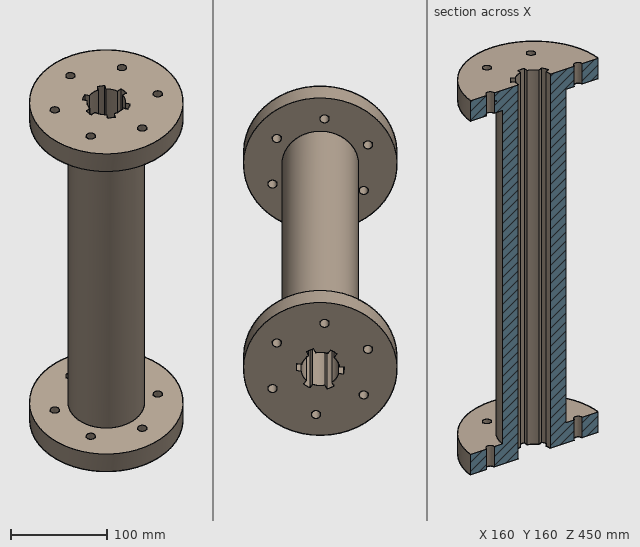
import cadquery as cq

TOTAL_LENGTH = 450.0
FLANGE_DIAMETER = 160.0
FLANGE_THICKNESS = 25.0
TUBE_DIAMETER = 80.0

BOLT_COUNT = 6
BOLT_HOLE_DIAMETER = 9.51
BOLT_CIRCLE_DIAMETER = 110.0
BOLT_START_ANGLE = 30.0

BORE_DIAMETER = 40.0
SPLINE_COUNT = 6
SPLINE_MAJOR_DIAMETER = 50.0
SPLINE_SLOT_WIDTH = 8.0


def flange(base_height):
    """Round flange with a ring of through bolt holes, standing on base_height."""
    base = cq.Workplane("XY").workplane(offset=base_height)
    disc = base.circle(FLANGE_DIAMETER / 2).extrude(FLANGE_THICKNESS)
    holes = (
        base.polarArray(BOLT_CIRCLE_DIAMETER / 2, BOLT_START_ANGLE, 360, BOLT_COUNT)
        .circle(BOLT_HOLE_DIAMETER / 2)
        .extrude(FLANGE_THICKNESS)
    )
    return disc.cut(holes)


def splined_bore():
    """Solid to be removed for the bore: a round core with radial spline slots."""
    core = cq.Workplane("XY").circle(BORE_DIAMETER / 2).extrude(TOTAL_LENGTH)
    slots = (
        cq.Workplane("XY")
        .polarArray(SPLINE_MAJOR_DIAMETER / 4, 0, 360, SPLINE_COUNT)
        .rect(SPLINE_MAJOR_DIAMETER / 2, SPLINE_SLOT_WIDTH)
        .extrude(TOTAL_LENGTH)
    )
    major = cq.Workplane("XY").circle(SPLINE_MAJOR_DIAMETER / 2).extrude(TOTAL_LENGTH)
    return core.union(slots.intersect(major))


tube = cq.Workplane("XY").circle(TUBE_DIAMETER / 2).extrude(TOTAL_LENGTH)
bottom_flange = flange(0)
top_flange = flange(TOTAL_LENGTH - FLANGE_THICKNESS)

result = tube.union(bottom_flange).union(top_flange).cut(splined_bore())